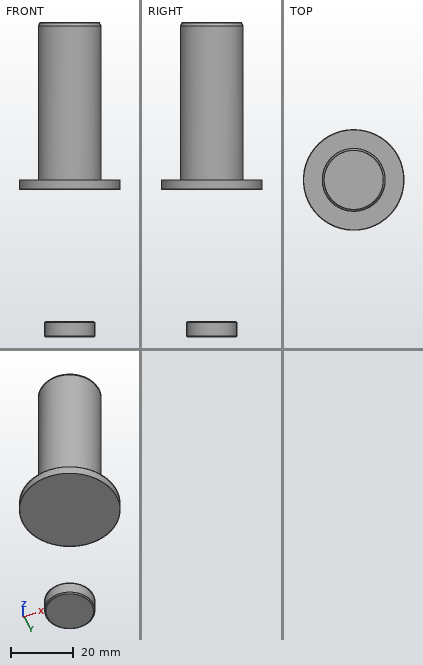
import cadquery as cq

total_height = 100.0

flange_diameter = 32.0
flange_thickness = 3.0
shank_diameter = 20.0
shank_length = 50.0
shank_chamfer_height = 1.0
shank_chamfer_width = 0.6

disc_diameter = 16.0
disc_thickness = 5.0
disc_chamfer = 0.4

pin_bottom = total_height - shank_length - flange_thickness


def make_pin():
    """Round shank with a chamfered free end, standing on a flange."""
    flange = cq.Workplane("XY").circle(flange_diameter / 2).extrude(flange_thickness)
    shank = (
        cq.Workplane("XY")
        .workplane(offset=flange_thickness)
        .circle(shank_diameter / 2)
        .extrude(shank_length)
        .faces(">Z")
        .chamfer(shank_chamfer_height, shank_chamfer_width)
    )
    return flange.union(shank).translate((0, 0, pin_bottom))


def make_disc():
    """Flat disc with both rims chamfered."""
    return (
        cq.Workplane("XY")
        .circle(disc_diameter / 2)
        .extrude(disc_thickness)
        .faces("<Z or >Z")
        .chamfer(disc_chamfer)
    )


pin = make_pin()
disc = make_disc()
result = cq.Compound.makeCompound([pin.val(), disc.val()])